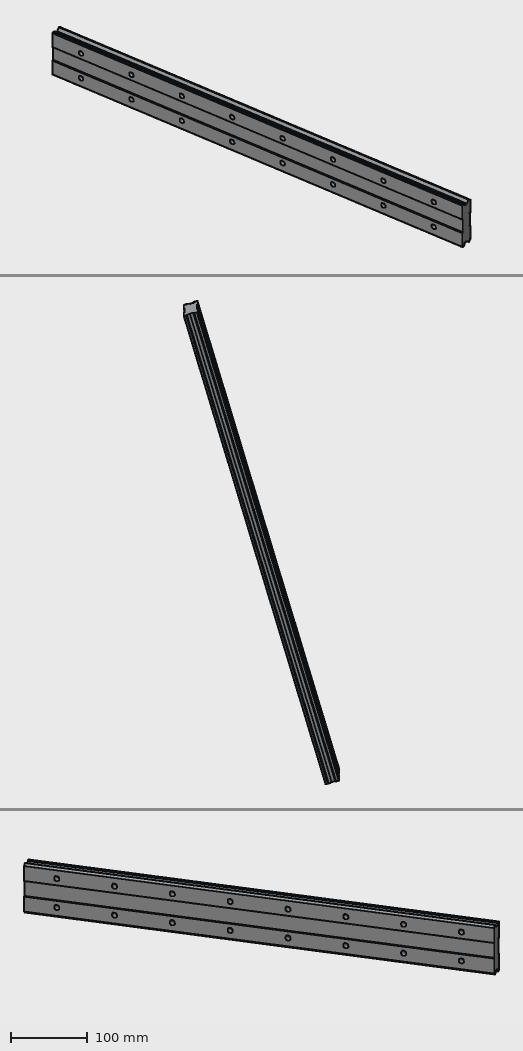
import cadquery as cq

length = 650.0
thickness = 19.0
height = 69.0

lip_y = 5.0
groove_floor_start_y = 6.0
groove_floor_end_y = 10.5
crest_start_y = 14.0
crest_end_y = 15.5
groove_depth = 4.0
shoulder_drop = 2.0
edge_chamfer = 0.9

recess_height = 22.0
recess_depth = 1.1
recess_wall_run = 0.9

hole_diameter = 7.0
hole_pitch = 80.0
holes_per_row = 8
row_spacing = 40.0


def rail_body():
    """Extrude the cross-section along X; the section is symmetric about Z = 0."""
    half_height = height / 2
    floor_z = half_height - groove_depth
    shoulder_z = half_height - shoulder_drop
    recess_top = recess_height / 2
    recess_floor_top = recess_top - recess_wall_run
    upper_half = [
        (recess_depth, recess_floor_top),
        (0, recess_top),
        (0, half_height - edge_chamfer),
        (edge_chamfer, half_height),
        (lip_y - edge_chamfer, half_height),
        (lip_y, half_height - edge_chamfer),
        (groove_floor_start_y, floor_z),
        (groove_floor_end_y, floor_z),
        (crest_start_y, half_height),
        (crest_end_y, half_height),
        (thickness - edge_chamfer, shoulder_z),
        (thickness, shoulder_z - edge_chamfer),
        (thickness, recess_top),
        (thickness - recess_depth, recess_floor_top),
    ]
    lower_half = [(y, -z) for y, z in reversed(upper_half)]
    section = cq.Workplane("YZ", origin=(0, -thickness / 2, 0)).polyline(upper_half + lower_half).close()
    return section.extrude(length / 2, both=True)


def mounting_holes():
    """Through cylinders along Y, in two rows."""
    return (
        cq.Workplane("XZ")
        .rarray(hole_pitch, row_spacing, holes_per_row, 2)
        .circle(hole_diameter / 2)
        .extrude(thickness, both=True)
    )


result = rail_body().cut(mounting_holes())